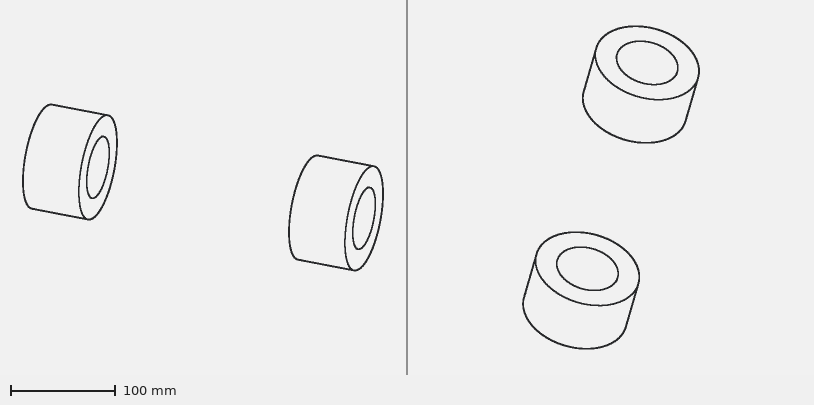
import cadquery as cq

OVERALL_LENGTH = 329.8
OUTER_DIAMETER = 101.5
BORE_DIAMETER = 60.0
BUSHING_LENGTH = 57.5


def bushing(start_x):
    """Plain cylindrical bushing with a through bore, running along +X from start_x."""
    return (
        cq.Workplane("YZ", origin=(start_x, 0, 0))
        .circle(OUTER_DIAMETER / 2)
        .circle(BORE_DIAMETER / 2)
        .extrude(BUSHING_LENGTH)
    )


left_start = -OVERALL_LENGTH / 2
right_start = OVERALL_LENGTH / 2 - BUSHING_LENGTH

bushings = [bushing(start_x).val() for start_x in (left_start, right_start)]

result = cq.Compound.makeCompound(bushings)